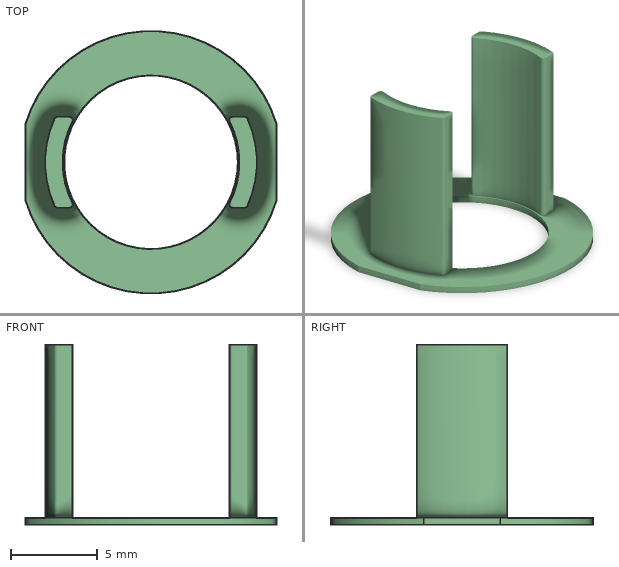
import cadquery as cq

flange_diameter = 15.15
bore_diameter = 10.0
flange_width = 14.5
flange_thickness = 0.4

total_height = 10.4
tab_inner_radius = 5.1
tab_outer_radius = 6.1
tab_width = 5.24
tab_corner_radius = 0.2

tab_height = total_height - flange_thickness


def make_flange():
    """Flat ring with one flat on each X side."""
    ring = cq.Workplane("XY").circle(flange_diameter / 2).circle(bore_diameter / 2)
    slab = cq.Workplane("XY").rect(flange_width, flange_diameter).extrude(flange_thickness)
    return ring.extrude(flange_thickness).intersect(slab)


def make_tab(side):
    """Arc-shaped tab on the +X (side=1) or -X (side=-1) side, with rounded upright edges."""
    base = cq.Workplane("XY").workplane(offset=flange_thickness)
    tube = base.circle(tab_outer_radius).circle(tab_inner_radius).extrude(tab_height)
    strip = (
        base.center(side * tab_outer_radius / 2, 0)
        .rect(tab_outer_radius, tab_width)
        .extrude(tab_height)
    )
    return tube.intersect(strip).edges("|Z").fillet(tab_corner_radius)


result = make_flange()
for side in (-1, 1):
    result = result.union(make_tab(side))